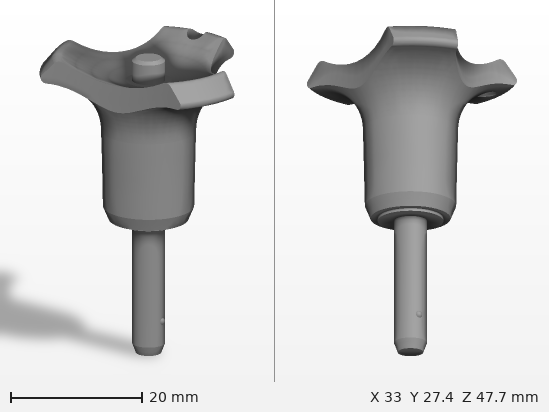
import cadquery as cq
import math

tip_height = 1.55
ball_height = 5.4
collar_bottom = 21.05
body_bottom = 21.45
body_chamfer_top = 23.5
flare_start = 35.75
button_chamfer = 0.5
button_top = 47.25

pin_radius = 2.55
tip_radius = 1.95
ball_radius = 0.6
ball_protrusion = 0.3
collar_radius = 5.0
body_bottom_radius = 6.1
body_chamfer_radius = 6.95
body_top_radius = 7.25
flare_radius = 8.2

arm_clip_radius = 17.15
rim_corner_radius = 17.5
rim_edge_fillet = 0.8
crest_corner_radius = 14.1
crest_fillet = 0.95
dish_sphere_radius = 23.85
dish_bottom = 43.4
plug_radius = 3.55

rear_arm_half_width = 5.55
scallop_mid_x = 9.75
scallop_mid_y = 2.85
side_arm_upper_x = 17.0
side_arm_upper_y = -1.75
side_arm_lower_x = 12.9
side_arm_lower_y = -10.85
front_scallop_y = -9.15

rear_arm_corner_y = math.sqrt(arm_clip_radius**2 - rear_arm_half_width**2)
side_arm_angle = (
    math.atan2(side_arm_upper_y, side_arm_upper_x) + math.atan2(side_arm_lower_y, side_arm_lower_x)
) / 2
side_arm_end = (arm_clip_radius * math.cos(side_arm_angle), arm_clip_radius * math.sin(side_arm_angle))

lanyard_hole_radius = 1.5
lanyard_hole_y = 13.65

cutter_height = 47.7


def dish_height(radius):
    """Height of the spherical dish at a distance from the axis."""
    return dish_bottom + dish_sphere_radius - math.sqrt(dish_sphere_radius**2 - radius**2)


def circle_edge(body, radius):
    """The circular edge of the given radius."""
    circles = body.edges("%CIRCLE").vals()
    return min(circles, key=lambda edge: abs(edge.radius() - radius))


def make_handle():
    """Turned handle: chamfered body, flared neck and dished rim."""
    flare_end_radius = body_top_radius + flare_radius
    flare_end_height = flare_start + flare_radius
    flare_mid_radius = flare_end_radius - flare_radius * math.cos(math.pi / 4)
    flare_mid_height = flare_start + flare_radius * math.sin(math.pi / 4)
    dish_mid_radius = (plug_radius + crest_corner_radius) / 2
    profile = (
        cq.Workplane("XZ")
        .moveTo(0, body_bottom)
        .lineTo(body_bottom_radius, body_bottom)
        .lineTo(body_chamfer_radius, body_chamfer_top)
        .lineTo(body_top_radius, flare_start)
        .threePointArc((flare_mid_radius, flare_mid_height), (flare_end_radius, flare_end_height))
        .lineTo(rim_corner_radius, flare_end_height)
        .lineTo(crest_corner_radius, dish_height(crest_corner_radius))
        .threePointArc(
            (dish_mid_radius, dish_height(dish_mid_radius)),
            (plug_radius, dish_height(plug_radius)),
        )
        .lineTo(0, dish_height(plug_radius))
        .close()
    )
    handle = profile.revolve(360, (0, 0, 0), (0, 1, 0))
    rim_edge = circle_edge(handle, rim_corner_radius)
    handle = handle.newObject([rim_edge]).fillet(rim_edge_fillet)
    crest_edge = circle_edge(handle, crest_corner_radius)
    return handle.newObject([crest_edge]).fillet(crest_fillet)


def make_arm_outline():
    """Prism with the three scallops as sides and arm ends just outside the rim."""
    return (
        cq.Workplane("XY", origin=(0, 0, body_bottom))
        .moveTo(-rear_arm_half_width, rear_arm_corner_y)
        .threePointArc((0, arm_clip_radius), (rear_arm_half_width, rear_arm_corner_y))
        .threePointArc((scallop_mid_x, scallop_mid_y), (side_arm_upper_x, side_arm_upper_y))
        .threePointArc(side_arm_end, (side_arm_lower_x, side_arm_lower_y))
        .threePointArc((0, front_scallop_y), (-side_arm_lower_x, side_arm_lower_y))
        .threePointArc((-side_arm_end[0], side_arm_end[1]), (-side_arm_upper_x, side_arm_upper_y))
        .threePointArc((-scallop_mid_x, scallop_mid_y), (-rear_arm_half_width, rear_arm_corner_y))
        .close()
        .extrude(cutter_height)
    )


def make_pin():
    """Tapered pin with its collar and the chamfered release button."""
    return (
        cq.Workplane("XZ")
        .lineTo(tip_radius, 0)
        .lineTo(pin_radius, tip_height)
        .lineTo(pin_radius, collar_bottom)
        .lineTo(collar_radius, collar_bottom)
        .lineTo(collar_radius, body_bottom)
        .lineTo(pin_radius, body_bottom)
        .lineTo(pin_radius, button_top - button_chamfer)
        .lineTo(tip_radius, button_top)
        .lineTo(0, button_top)
        .close()
        .revolve(360, (0, 0, 0), (0, 1, 0))
    )


def make_ball(side):
    """Locking ball standing proud of the pin on one side (-1 or +1)."""
    offset = side * (pin_radius + ball_protrusion - ball_radius)
    return cq.Workplane("XY", origin=(offset, 0, ball_height)).sphere(ball_radius)


lanyard_hole = (
    cq.Workplane("XY", origin=(0, lanyard_hole_y, flare_start))
    .circle(lanyard_hole_radius)
    .extrude(cutter_height)
)

result = make_handle().intersect(make_arm_outline()).cut(lanyard_hole)
result = result.union(make_pin())
for ball_side in (-1, 1):
    result = result.union(make_ball(ball_side))